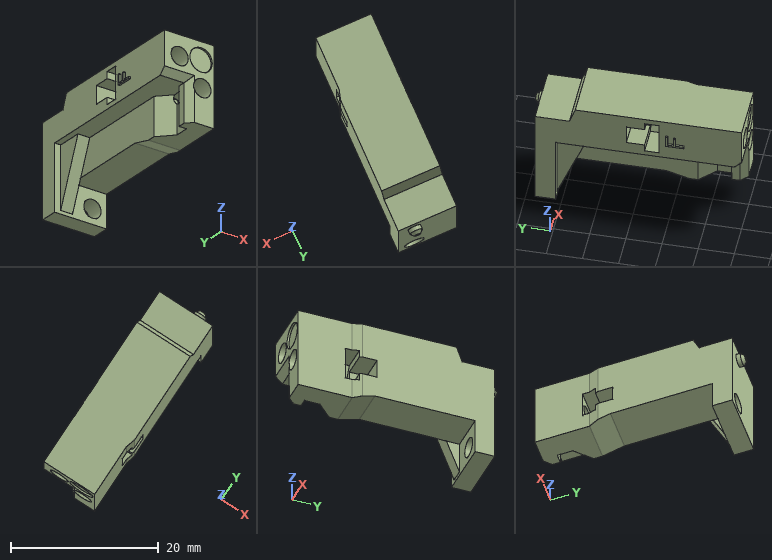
import cadquery as cq
import math

total_length = 29.7
total_height = 17.08
total_width = 8.97
mark_height = 0.3
body_width = total_width - mark_height
body_length = 28.6

step_height = 14.85
step_ramp_top_y = 23.02
step_ramp_bottom_y = 23.82
flange_thickness = 2.88
flange_front_y = body_length - flange_thickness
underside_front_z = 4.4
underside_rear_z = 5.3
underside_ramp_start_y = 7.9
underside_ramp_end_y = 11.05

narrow_width = 8.25
narrow_end_y = 7.87
taper_end_y = 9.27

notch_ceiling_z = 10.55
notch_front_wall_x = 3.95
notch_deep_wall_x = 5.2
notch_rear_wall_x = 2.97
notch_step_y = 2.17
notch_slant_start_y = 4.4
notch_slant_end_y = notch_slant_start_y + notch_deep_wall_x - notch_rear_wall_x
notch_chamfer = 1.0

gusset_left_x = 1.0
gusset_top_y = 21.68
gusset_bottom_z = 0.55

hole_diameter = 2.85
hole_radius = hole_diameter / 2
upper_hole_x = 2.52
upper_hole_z = 13.78
lower_hole_x = 6.3
lower_hole_z = 10.0
flange_hole_z = 2.38
dial_diameter = 3.7
dial_depth = 0.3
dial_x = 6.1
dial_z = 14.25
pin_diameter = 1.85
pin_chamfer = 0.48
pin_x = lower_hole_x
pin_z = 12.55

window_height = 5.02
window_length = 1.95
stem_length = 2.52
floor_tilt = 30.0
upper_window_y = 11.45
lower_window_y = 6.9

mark_stroke = 0.27
mark_front_y = 7.95
mark_rear_y = 10.48
mark_middle_y = 9.12
mark_bottom_z = 12.92
mark_long_arm_z = 14.55
mark_short_arm_z = 14.37


def box(x0, x1, y0, y1, z0, z1):
    """Box given by its limits along each axis."""
    return cq.Workplane("XY").box(x1 - x0, y1 - y0, z1 - z0, centered=False).translate((x0, y0, z0))


def side_prism(points, x0, x1):
    """Outline of (y, z) points extruded from x0 to x1."""
    return cq.Workplane("YZ", origin=(x0, 0, 0)).polyline(points).close().extrude(x1 - x0)


def rod(x, z, diameter, y0, y1):
    """Cylinder along Y from y0 to y1."""
    return cq.Workplane("XZ", origin=(x, y0, z)).circle(diameter / 2).extrude(y0 - y1)


def make_body():
    profile = [
        (0, underside_front_z),
        (underside_ramp_start_y, underside_front_z),
        (underside_ramp_end_y, underside_rear_z),
        (flange_front_y, underside_rear_z),
        (flange_front_y, 0),
        (body_length, 0),
        (body_length, step_height),
        (step_ramp_bottom_y, step_height),
        (step_ramp_top_y, total_height),
        (0, total_height),
    ]
    plan = [
        (0, 0),
        (narrow_width, 0),
        (narrow_width, narrow_end_y),
        (body_width, taper_end_y),
        (body_width, body_length),
        (0, body_length),
    ]
    plan_prism = cq.Workplane("XY").polyline(plan).close().extrude(total_height)
    return side_prism(profile, 0, body_width).intersect(plan_prism)


def make_notch():
    plan = [
        (0, 0),
        (notch_front_wall_x, 0),
        (notch_front_wall_x, notch_step_y),
        (notch_deep_wall_x, notch_step_y),
        (notch_deep_wall_x, notch_slant_start_y),
        (notch_rear_wall_x, notch_slant_end_y),
        (notch_rear_wall_x, flange_front_y),
        (0, flange_front_y),
    ]
    notch = cq.Workplane("XY").polyline(plan).close().extrude(notch_ceiling_z)

    ceiling_flare = [
        (0, 0),
        (0, notch_ceiling_z + notch_chamfer),
        (notch_chamfer, notch_ceiling_z),
        (notch_chamfer, 0),
    ]
    wall_flare = [
        (0, 0),
        (notch_front_wall_x + notch_chamfer, 0),
        (notch_front_wall_x, notch_chamfer),
        (0, notch_chamfer),
    ]
    mouth_width = notch_front_wall_x + notch_chamfer
    mouth_height = notch_ceiling_z + notch_chamfer
    wall_prism = cq.Workplane("XY").polyline(wall_flare).close().extrude(mouth_height)
    mouth = side_prism(ceiling_flare, 0, mouth_width).intersect(wall_prism)
    return notch.union(mouth)


def make_gusset():
    outline = [
        (gusset_top_y, notch_ceiling_z),
        (flange_front_y, notch_ceiling_z),
        (flange_front_y, gusset_bottom_z),
    ]
    return side_prism(outline, gusset_left_x, notch_rear_wall_x)


def make_window(side_x, inward, hole_x, hole_z, front_y):
    """Latch window cut from the side at side_x; inward is +1 or -1 along X."""
    stem_x = hole_x + inward * hole_radius
    apex_x = stem_x + inward * window_height / 2 * math.tan(math.radians(floor_tilt))
    section = [
        (side_x, hole_z - window_height / 2),
        (stem_x, hole_z - window_height / 2),
        (apex_x, hole_z),
        (stem_x, hole_z + window_height / 2),
        (side_x, hole_z + window_height / 2),
    ]
    stem_start_y = front_y + window_length
    window = cq.Workplane("XZ", origin=(0, front_y, 0)).polyline(section).close().extrude(-window_length)
    stem = box(
        min(side_x, stem_x), max(side_x, stem_x),
        stem_start_y, stem_start_y + stem_length,
        hole_z - hole_radius, hole_z + hole_radius,
    )
    return window.union(stem)


def make_mark():
    spine = box(-mark_height, 0, mark_front_y, mark_rear_y, mark_bottom_z, mark_bottom_z + mark_stroke)
    long_arm = box(-mark_height, 0, mark_rear_y - mark_stroke, mark_rear_y, mark_bottom_z, mark_long_arm_z)
    short_arm = box(
        -mark_height, 0, mark_middle_y, mark_middle_y + mark_stroke, mark_bottom_z, mark_short_arm_z
    )
    return spine.union(long_arm).union(short_arm)


result = make_body().cut(make_notch()).union(make_gusset())

result = result.cut(rod(upper_hole_x, upper_hole_z, hole_diameter, 0, upper_window_y + window_length))
result = result.cut(rod(lower_hole_x, lower_hole_z, hole_diameter, 0, lower_window_y + window_length))
result = result.cut(make_window(0, 1, upper_hole_x, upper_hole_z, upper_window_y))
result = result.cut(make_window(body_width, -1, lower_hole_x, lower_hole_z, lower_window_y))

result = result.cut(rod(lower_hole_x, flange_hole_z, hole_diameter, flange_front_y, body_length))
result = result.cut(rod(dial_x, dial_z, dial_diameter, 0, dial_depth))

pin = rod(pin_x, pin_z, pin_diameter, body_length, total_length).faces(">Y").chamfer(pin_chamfer)
result = result.union(pin).union(make_mark())